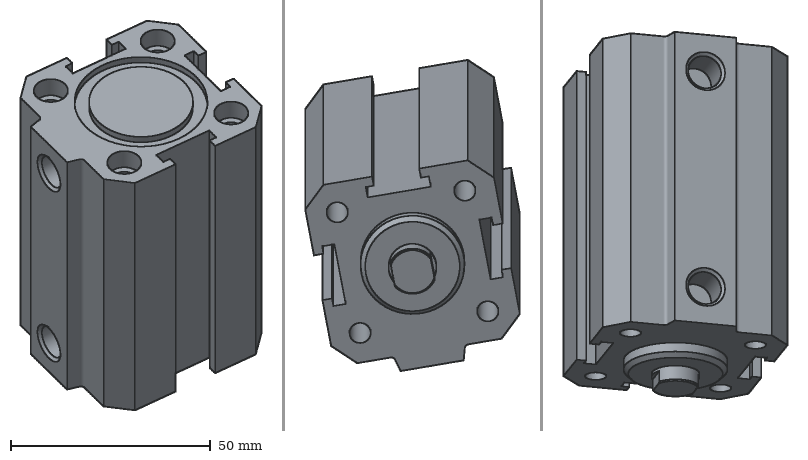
import cadquery as cq
import math

OVERALL_LENGTH = 84.5
HOUSING_LENGTH = 77.0
HALF_WIDTH = 24.0
CORNER_CUT = 5.7

RIB_FACE_Y = -28.0
RIB_FACE_HALF_WIDTH = 8.0
RIB_FLANK_ANGLE = 15
RIB_ROOT_RADIUS = 1.0

SLOT_HALF_MOUTH = 6.0
SLOT_HALF_CAVITY = 8.0
SLOT_LIP = 2.45
SIDE_SLOT_DEPTH = 5.6
BACK_SLOT_DEPTH = 5.2

MOUNT_SPACING = 32.45
MOUNT_DIAMETER = 5.3
MOUNT_BORE_DIAMETER = 8.5
MOUNT_BORE_DEPTH = 5.5

RECESS_DIAMETER = 33.3
RECESS_DEPTH = 1.9
DISC_DIAMETER = 26.0

COLLAR_DIAMETER = 26.0
COLLAR_HEIGHT = 3.55
COLLAR_CHAMFER = 1.2

PORT_END_DISTANCE = 9.7
PORT_DIAMETER = 8.5
PORT_MOUTH_DIAMETER = 10.1
PORT_CHAMFER = (PORT_MOUTH_DIAMETER - PORT_DIAMETER) / 2
PORT_DEPTH = 10.1

ROD_DIAMETER = 12.0
ROD_END_Z = HOUSING_LENGTH - OVERALL_LENGTH
ROD_END_CHAMFER = 0.3
ROD_FLATS_WIDTH = 10.1
ROD_FLATS_TOP_Z = -4.4


def make_block():
    """Octagonal extrusion with square sides and cut corners."""
    width = 2 * HALF_WIDTH
    block = cq.Workplane("XY").rect(width, width).extrude(HOUSING_LENGTH)
    return block.edges("|Z").chamfer(CORNER_CUT)


def make_port_rib():
    """Tapered rib whose concave root arcs are tangent to flank and side."""
    angle = math.radians(RIB_FLANK_ANGLE)
    side_y = -HALF_WIDTH
    corner_x = RIB_FACE_HALF_WIDTH + (side_y - RIB_FACE_Y) * math.tan(angle)
    tangent = RIB_ROOT_RADIUS * math.tan((math.pi / 2 - angle) / 2)
    root_x = corner_x + tangent
    flank_x = corner_x - tangent * math.sin(angle)
    flank_y = side_y - tangent * math.cos(angle)
    return (
        cq.Workplane("XY")
        .moveTo(-root_x, side_y)
        .radiusArc((-flank_x, flank_y), RIB_ROOT_RADIUS)
        .lineTo(-RIB_FACE_HALF_WIDTH, RIB_FACE_Y)
        .lineTo(RIB_FACE_HALF_WIDTH, RIB_FACE_Y)
        .lineTo(flank_x, flank_y)
        .radiusArc((root_x, side_y), RIB_ROOT_RADIUS)
        .close()
        .extrude(HOUSING_LENGTH)
    )


def make_t_slot(depth, rotation):
    """Full-length T-slot on the +Y side, turned about Z by rotation degrees."""
    lip_y = HALF_WIDTH - SLOT_LIP
    floor_y = HALF_WIDTH - depth
    return (
        cq.Workplane("XY")
        .polyline([
            (-SLOT_HALF_MOUTH, HALF_WIDTH),
            (-SLOT_HALF_MOUTH, lip_y),
            (-SLOT_HALF_CAVITY, lip_y),
            (-SLOT_HALF_CAVITY, floor_y),
            (SLOT_HALF_CAVITY, floor_y),
            (SLOT_HALF_CAVITY, lip_y),
            (SLOT_HALF_MOUTH, lip_y),
            (SLOT_HALF_MOUTH, HALF_WIDTH),
        ])
        .close()
        .extrude(HOUSING_LENGTH)
        .rotate((0, 0, 0), (0, 0, 1), rotation)
    )


def make_recess():
    """Ring-shaped recess that leaves the central disc standing."""
    return (
        cq.Workplane("XY", origin=(0, 0, HOUSING_LENGTH - RECESS_DEPTH))
        .circle(RECESS_DIAMETER / 2)
        .circle(DISC_DIAMETER / 2)
        .extrude(RECESS_DEPTH)
    )


def make_collar():
    """Chamfered collar below the housing."""
    collar = cq.Workplane("XY").circle(COLLAR_DIAMETER / 2).extrude(-COLLAR_HEIGHT)
    return collar.faces("<Z").chamfer(COLLAR_CHAMFER)


def make_port(z):
    """Blind port cutter with a countersunk mouth."""
    mouth_plane = cq.Workplane("XZ", origin=(0, RIB_FACE_Y, z))
    bore = mouth_plane.circle(PORT_DIAMETER / 2).extrude(-PORT_DEPTH)
    mouth = mouth_plane.circle(PORT_MOUTH_DIAMETER / 2).extrude(-PORT_CHAMFER, taper=45)
    return bore.union(mouth)


def make_housing():
    """Housing with its rib, slots, holes, ports, collar and rod socket."""
    housing = make_block().union(make_port_rib()).union(make_collar())
    for depth, rotation in [(BACK_SLOT_DEPTH, 0), (SIDE_SLOT_DEPTH, 90), (SIDE_SLOT_DEPTH, -90)]:
        housing = housing.cut(make_t_slot(depth, rotation))
    housing = housing.cut(make_recess())
    housing = (
        housing.cut(make_rod())
        .copyWorkplane(cq.Workplane("XY", origin=(0, 0, HOUSING_LENGTH)))
        .rect(MOUNT_SPACING, MOUNT_SPACING, forConstruction=True)
        .vertices()
        .cboreHole(MOUNT_DIAMETER, MOUNT_BORE_DIAMETER, MOUNT_BORE_DEPTH)
    )
    for z in (PORT_END_DISTANCE, HOUSING_LENGTH - PORT_END_DISTANCE):
        housing = housing.cut(make_port(z))
    return housing


def make_rod():
    """Rod with two wrench flats facing -X and +X at its lower end."""
    rod = cq.Workplane("XY").circle(ROD_DIAMETER / 2).extrude(ROD_END_Z)
    rod = rod.faces("<Z").chamfer(ROD_END_CHAMFER)
    flats = (
        cq.Workplane("XY", origin=(0, 0, ROD_FLATS_TOP_Z))
        .rect(2 * ROD_DIAMETER, ROD_DIAMETER)
        .rect(ROD_FLATS_WIDTH, ROD_DIAMETER)
        .extrude(ROD_END_Z - ROD_FLATS_TOP_Z)
    )
    return rod.cut(flats)


housing = make_housing()
rod = make_rod()
result = cq.Compound.makeCompound([housing.val(), rod.val()])